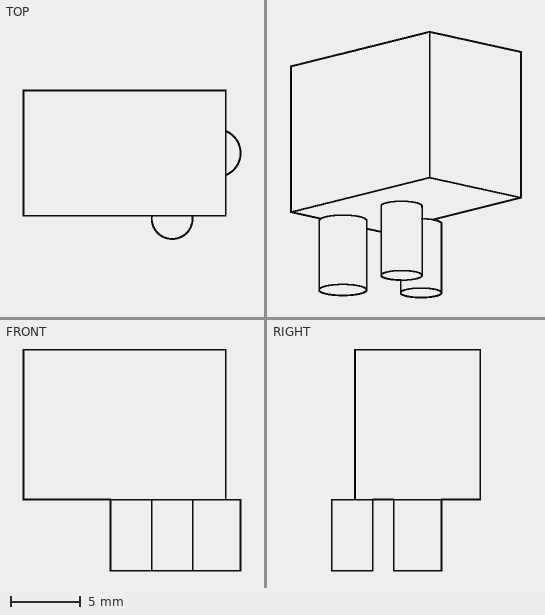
import cadquery as cq

housing_length = 14.55
housing_width = 9.02
overall_height = 15.9
pin_length = 5.12
housing_height = overall_height - pin_length

small_pin_diameter = 2.95
large_pin_diameter = 3.43
large_pin_overhang = 1.07
front_pin_overhang = 1.67
front_pin_x = 3.42
small_pin_pitch_x = small_pin_diameter

large_pin_center = (housing_length / 2 + large_pin_overhang - large_pin_diameter / 2, 0.0)
front_pin_center = (
    front_pin_x,
    -housing_width / 2 - front_pin_overhang + small_pin_diameter / 2,
)
inner_pin_center = (front_pin_center[0] - small_pin_pitch_x, 0.0)


def make_housing():
    """Plain block whose underside rests on the pin tops."""
    return (
        cq.Workplane("XY")
        .workplane(offset=pin_length)
        .rect(housing_length, housing_width)
        .extrude(housing_height)
    )


def make_pin(center, diameter):
    """Upright cylinder reaching from the base plane to the housing."""
    return cq.Workplane("XY").center(*center).circle(diameter / 2).extrude(pin_length)


housing = make_housing()
large_pin = make_pin(large_pin_center, large_pin_diameter)
small_pins = [
    make_pin(center, small_pin_diameter)
    for center in (front_pin_center, inner_pin_center)
]

result = cq.Compound.makeCompound(
    [housing.val(), large_pin.val(), *[pin.val() for pin in small_pins]]
)